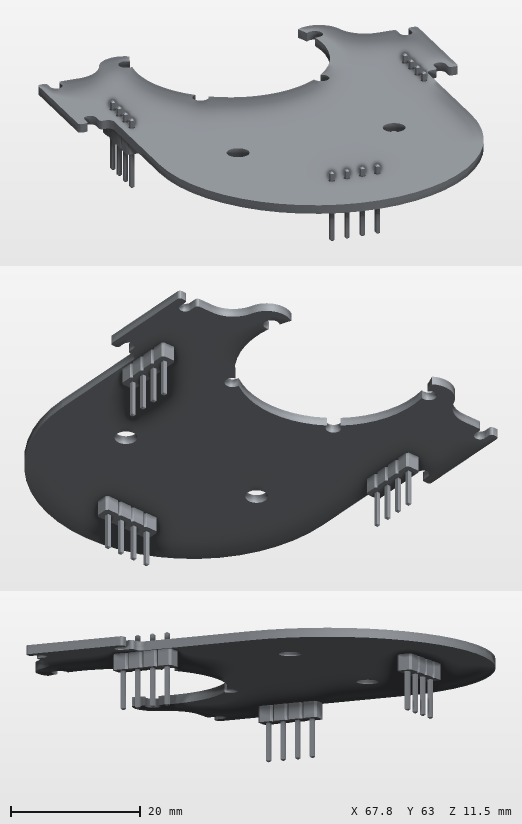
import cadquery as cq
import math


board_length = 67.8
board_width_over_tabs = 63.0
body_width = 52.0
board_thickness = 1.4
round_end_radius = body_width / 2
tab_end_y = board_width_over_tabs / 2
tab_width = 16.9
top_tab_left = -35.25
bottom_tab_left = -36.1
shoulder_radius = 1.0
tab_corner_radius = 0.5

slot_width = 1.95
slot_y = 28.95
slot_end_spacing = 11.85
top_slot_end = -32.6
bottom_slot_end = -33.7

bay_x = -34.65
bay_radius = 15.45
hook_radius = 4.0
hook_x = round_end_radius - board_length + hook_radius
hook_y = 16.2
arm_blend_radius = 5.0

notch_diameter = 2.5
notch_circle_radius = 16.15
notch_angles = (38.6, 103.3)

mount_diameter = 3.5
mount_x = 0.35
mount_y = 13.0

pins_per_header = 4
header_length = 10.2
pin_pitch = header_length / pins_per_header
housing_height = pin_pitch
housing_chamfer = 0.35
pin_width = 0.64
pin_length = 11.5
pin_rise = 2.85
pin_tip_chamfer = 0.2
pin_hole_diameter = 1.0
side_header_x = -19.0
side_header_spacing = 48.75
side_header_y = side_header_spacing / 2
end_header_x = 15.9
header_places = (
    (side_header_x, side_header_y, 0),
    (side_header_x, -side_header_y, 0),
    (end_header_x, 0, 90),
)

tabs = (
    (1, top_tab_left, top_slot_end),
    (-1, bottom_tab_left, bottom_slot_end),
)


def arm_half(side, tab_left):
    """Half of the board on one side of the X axis, with its tab, arm and hook."""
    tab_right = tab_left + tab_width
    blend_x = tab_left - arm_blend_radius
    center_gap = hook_radius + arm_blend_radius
    blend_y = hook_y + math.sqrt(center_gap**2 - (hook_x - blend_x) ** 2)

    meet_angle = math.atan2(blend_y - hook_y, blend_x - hook_x)
    meet = (hook_x + hook_radius * math.cos(meet_angle), hook_y + hook_radius * math.sin(meet_angle))
    blend_mid_angle = (meet_angle - math.pi) / 2
    blend_mid = (
        blend_x + arm_blend_radius * math.cos(blend_mid_angle),
        blend_y + arm_blend_radius * math.sin(blend_mid_angle),
    )
    end_mid = round_end_radius * math.cos(math.pi / 4)

    def at(x, y):
        return (x, side * y)

    return (
        cq.Workplane("XY")
        .moveTo(*at(hook_x, 0))
        .lineTo(*at(round_end_radius, 0))
        .threePointArc(at(end_mid, end_mid), at(0, round_end_radius))
        .lineTo(*at(tab_right, round_end_radius))
        .lineTo(*at(tab_right, tab_end_y))
        .lineTo(*at(tab_left, tab_end_y))
        .lineTo(*at(tab_left, blend_y))
        .threePointArc(at(*blend_mid), at(*meet))
        .threePointArc(at(hook_x - hook_radius, hook_y), at(hook_x, hook_y - hook_radius))
        .close()
        .extrude(board_thickness)
    )


def tab_slots(side, tab_left, left_end):
    """Two round-ended cutters that enter the tab from its left and right sides."""
    right_end = left_end + slot_end_spacing
    reach = 2 * (left_end - tab_left) + slot_width
    left_center = left_end - reach / 2
    right_center = right_end + reach / 2
    return (
        cq.Workplane("XY")
        .pushPoints([(left_center, side * slot_y), (right_center, side * slot_y)])
        .slot2D(reach, slot_width)
        .extrude(board_thickness)
    )


def round_tab_corners(body, side, tab_left):
    """Fillet the tab's outer corners, its slot mouths and the shoulder beside it."""
    tab_right = tab_left + tab_width
    tolerance = 0.01

    def is_at(edge, x):
        return abs(edge.Center().x - x) < tolerance

    def is_shoulder(edge):
        on_shoulder = abs(side * edge.Center().y - round_end_radius) < tolerance
        return is_at(edge, tab_right) and on_shoulder

    def is_tab_corner(edge):
        beyond_shoulder = side * edge.Center().y > round_end_radius + tolerance
        return beyond_shoulder and (is_at(edge, tab_left) or is_at(edge, tab_right))

    body = body.edges("|Z").filter(is_tab_corner).fillet(tab_corner_radius)
    return body.edges("|Z").filter(is_shoulder).fillet(shoulder_radius)


def pin_spots(center_x, center_y, direction):
    """Centres of the pins in one row."""
    angle = math.radians(direction)
    offsets = [(index - (pins_per_header - 1) / 2) * pin_pitch for index in range(pins_per_header)]
    return [
        (center_x + offset * math.cos(angle), center_y + offset * math.sin(angle))
        for offset in offsets
    ]


def round_cutter(points, diameter):
    """Cylinders through the board's thickness."""
    return cq.Workplane("XY").pushPoints(points).circle(diameter / 2).extrude(board_thickness)


def make_board():
    board = arm_half(1, top_tab_left).union(arm_half(-1, bottom_tab_left)).clean()
    for side, tab_left, slot_end in tabs:
        board = board.cut(tab_slots(side, tab_left, slot_end))
        board = round_tab_corners(board, side, tab_left)

    board = board.cut(round_cutter([(bay_x, 0)], 2 * bay_radius))
    notch_points = [
        (
            bay_x + notch_circle_radius * math.cos(math.radians(angle)),
            side * notch_circle_radius * math.sin(math.radians(angle)),
        )
        for angle in notch_angles
        for side in (1, -1)
    ]
    board = board.cut(round_cutter(notch_points, notch_diameter))
    board = board.cut(round_cutter([(mount_x, mount_y), (mount_x, -mount_y)], mount_diameter))
    for place in header_places:
        board = board.cut(round_cutter(pin_spots(*place), pin_hole_diameter))
    return board


def make_header(center_x, center_y, direction):
    """Row of chamfered housing blocks under the board, with a square pin through each."""
    spots = pin_spots(center_x, center_y, direction)
    header = None
    for x, y in spots:
        block = (
            cq.Workplane("XY", origin=(x, y, -housing_height))
            .rect(pin_pitch, pin_pitch)
            .extrude(housing_height)
            .edges("|Z")
            .chamfer(housing_chamfer)
        )
        pin = (
            cq.Workplane("XY", origin=(x, y, pin_rise - pin_length))
            .rect(pin_width, pin_width)
            .extrude(pin_length)
            .faces("<Z or >Z")
            .chamfer(pin_tip_chamfer)
        )
        piece = block.union(pin)
        header = piece if header is None else header.union(piece)
    return header


board = make_board()
headers = [make_header(*place) for place in header_places]

result = cq.Compound.makeCompound([board.val(), *[header.val() for header in headers]])